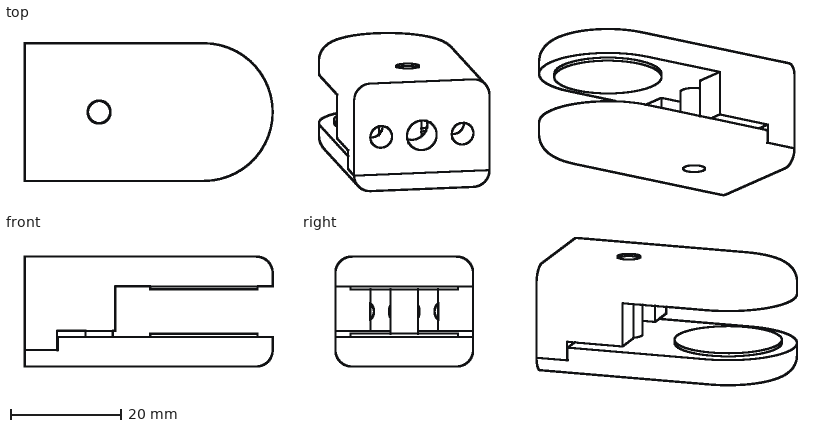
import cadquery as cq

length = 45.0
width = 25.0
height = 20.0
edge_radius = 3.0
nose_radius = width / 2
nose_x = length - nose_radius

jaw_thickness = 5.4
upper_jaw_z = height - jaw_thickness
web_front_x = 16.45
step_x = 5.9
step_z = 6.5
tongue_x = 6.0
joint_z = edge_radius

pocket_rear_x = 9.0
pocket_width = 12.35
rear_hole_z = height / 2
center_hole_diameter = 5.5
side_hole_diameter = 4.0
side_hole_offset = 7.5

screw_x = 13.5
screw_diameter = 4.0
screw_hole_diameter = 4.2
screw_recess = 0.4
sleeve_diameter = 5.0

pad_diameter = 19.5
pad_thickness = 0.6
pad_x = nose_x


def cylinder(x, diameter, bottom_z, top_z):
    """Vertical cylinder on the centre plane of the clamp."""
    return (
        cq.Workplane("XY", origin=(x, 0, bottom_z))
        .circle(diameter / 2)
        .extrude(top_z - bottom_z)
    )


def block(start_x, end_x, block_width, bottom_z, top_z):
    """Box that is centred across the clamp."""
    return cq.Workplane("XY").box(
        end_x - start_x, block_width, top_z - bottom_z, centered=(False, True, False)
    ).translate((start_x, 0, bottom_z))


def make_envelope():
    """Round-nosed block with rounded top and bottom edges and a flat rear face."""
    outline = (
        cq.Workplane("XY")
        .moveTo(0, -nose_radius)
        .lineTo(nose_x, -nose_radius)
        .threePointArc((length, 0), (nose_x, nose_radius))
        .lineTo(0, nose_radius)
        .close()
        .extrude(height)
    )
    return outline.faces("<Z or >Z").edges("not <X").fillet(edge_radius)


def rear_hole(y, diameter):
    """Hole from the rear face to the pocket."""
    return (
        cq.Workplane("YZ")
        .center(y, rear_hole_z)
        .circle(diameter / 2)
        .extrude(pocket_rear_x)
    )


def make_housing(envelope):
    """Upper jaw and web, with the pocket, rear holes and screw hole."""
    profile = (
        cq.Workplane("XZ")
        .moveTo(0, joint_z)
        .lineTo(step_x, joint_z)
        .lineTo(step_x, step_z)
        .lineTo(web_front_x, step_z)
        .lineTo(web_front_x, upper_jaw_z)
        .lineTo(length, upper_jaw_z)
        .lineTo(length, height)
        .lineTo(0, height)
        .close()
        .extrude(nose_radius, both=True)
    )
    body = envelope.intersect(profile)
    body = body.cut(block(pocket_rear_x, web_front_x, pocket_width, step_z, upper_jaw_z))
    body = body.cut(rear_hole(0, center_hole_diameter))
    for side in (-1, 1):
        body = body.cut(rear_hole(side * side_hole_offset, side_hole_diameter))
    return body.cut(cylinder(screw_x, screw_hole_diameter, upper_jaw_z, height))


def make_lower_jaw(envelope):
    """Lower jaw: a full-length base with a shorter, raised tongue."""
    base = block(0, length, width, 0, joint_z)
    tongue = block(tongue_x, length, width, joint_z, jaw_thickness)
    body = envelope.intersect(base.union(tongue))
    return body.cut(cylinder(screw_x, screw_diameter, 0, jaw_thickness))


def make_screw():
    """Plain screw, flush with the lower jaw and recessed in the upper one."""
    return cylinder(screw_x, screw_diameter, 0, height - screw_recess)


def make_sleeve():
    """Sleeve around the screw between the two jaws."""
    outside = cylinder(screw_x, sleeve_diameter, jaw_thickness, upper_jaw_z)
    return outside.cut(cylinder(screw_x, screw_diameter, jaw_thickness, upper_jaw_z))


def make_pad(bottom_z):
    """Thin round pad."""
    return cylinder(pad_x, pad_diameter, bottom_z, bottom_z + pad_thickness)


envelope = make_envelope()
housing = make_housing(envelope)
lower_jaw = make_lower_jaw(envelope)
screw = make_screw()
sleeve = make_sleeve()
pads = [make_pad(bottom_z).val() for bottom_z in (jaw_thickness, upper_jaw_z - pad_thickness)]

result = cq.Compound.makeCompound(
    [housing.val(), lower_jaw.val(), screw.val(), sleeve.val(), *pads]
)